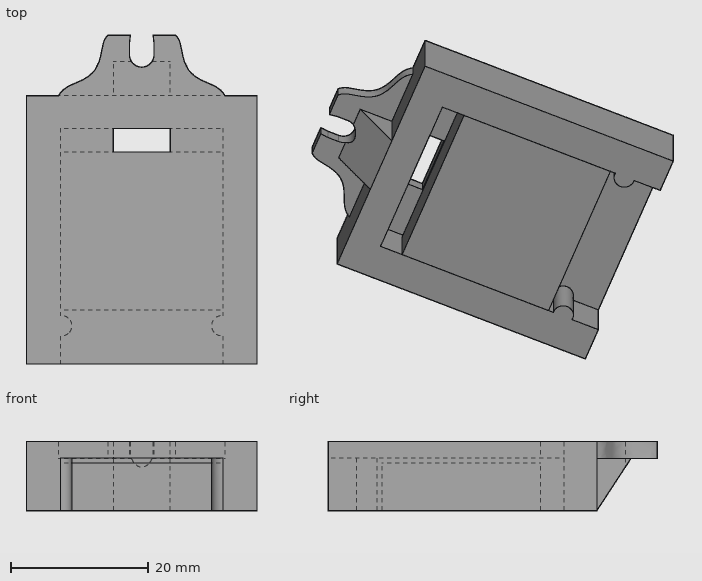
import cadquery as cq


WIDTH = 33.6
TOTAL_LENGTH = 47.9
HEIGHT = 10.1
BODY_LENGTH = 39.1

PLATE_THICKNESS = 2.4
SIDE_WALL = 5.0
BACK_WALL = 4.8
INNER_WIDTH = WIDTH - 2 * SIDE_WALL
CEILING_Z = HEIGHT - PLATE_THICKNESS
BACK_WALL_FRONT = BODY_LENGTH - BACK_WALL

WINDOW_WIDTH = 8.25
WINDOW_LENGTH = 3.4
WINDOW_FRONT = BACK_WALL_FRONT - WINDOW_LENGTH

RIB_RADIUS = 1.5
RIB_INSET = 0.15
RIB_Y = 5.6

INSERT_GAP = 0.75
INSERT_FRONT = RIB_Y + RIB_RADIUS + INSERT_GAP
INSERT_TOP = CEILING_Z - INSERT_GAP

TONGUE_THICKNESS = 2.5
TONGUE_LENGTH = TOTAL_LENGTH - BODY_LENGTH
TONGUE_BOTTOM = HEIGHT - TONGUE_THICKNESS

TONGUE_FLANK = [
    (4.95, TONGUE_LENGTH),
    (5.45, 8.05),
    (5.9, 6.33),
    (6.25, 4.95),
    (6.85, 3.7),
    (8.8, 2.2),
    (10.75, 1.35),
    (12.1, 0.0),
]

SLOT_RADIUS = 1.75
SLOT_MOUTH_HALF_WIDTH = 1.65
SLOT_DEPTH = 4.65
SLOT_TAPER_LENGTH = 1.15

BRACE_LENGTH = 5.0
BRACE_WIDTH = WINDOW_WIDTH


def box(width, y_start, y_end, z_start, z_end):
    """Block centred on X between the given Y and Z limits."""
    return (
        cq.Workplane("XY")
        .box(width, y_end - y_start, z_end - z_start, centered=(True, False, False))
        .translate((0, y_start, z_start))
    )


def tongue_half(side):
    """One half of the tongue, on the +X (side = 1) or -X (side = -1) side of the centre line."""
    flank = [(side * x, BODY_LENGTH + y) for x, y in TONGUE_FLANK]
    return (
        cq.Workplane("XY", origin=(0, 0, TONGUE_BOTTOM))
        .moveTo(0, BODY_LENGTH)
        .lineTo(0, TOTAL_LENGTH)
        .lineTo(*flank[0])
        .spline(flank[1:], includeCurrent=True)
        .close()
        .extrude(TONGUE_THICKNESS)
    )


def tongue_slot():
    """Cutter for the round-ended slot, open at the tip of the tongue."""
    slot_bottom = TOTAL_LENGTH - SLOT_DEPTH
    arc_y = slot_bottom + SLOT_RADIUS
    taper_y = TOTAL_LENGTH - SLOT_TAPER_LENGTH
    return (
        cq.Workplane("XY")
        .moveTo(SLOT_MOUTH_HALF_WIDTH, TOTAL_LENGTH)
        .lineTo(SLOT_RADIUS, taper_y)
        .lineTo(SLOT_RADIUS, arc_y)
        .threePointArc((0, slot_bottom), (-SLOT_RADIUS, arc_y))
        .lineTo(-SLOT_RADIUS, taper_y)
        .lineTo(-SLOT_MOUTH_HALF_WIDTH, TOTAL_LENGTH)
        .close()
        .extrude(HEIGHT)
    )


def wall_ribs():
    """Upright ribs of round section along the inner faces of both side walls."""
    rib_x = INNER_WIDTH / 2 - RIB_INSET
    return (
        cq.Workplane("XY")
        .pushPoints([(side * rib_x, RIB_Y) for side in (-1, 1)])
        .circle(RIB_RADIUS)
        .extrude(HEIGHT)
    )


def brace():
    """Triangular brace from the foot of the back wall up to the tongue."""
    return (
        cq.Workplane("YZ")
        .moveTo(BODY_LENGTH, 0)
        .lineTo(BODY_LENGTH + BRACE_LENGTH, TONGUE_BOTTOM)
        .lineTo(BODY_LENGTH, TONGUE_BOTTOM)
        .close()
        .extrude(BRACE_WIDTH / 2, both=True)
    )


def make_housing():
    """Cover open at the front and bottom, with ribs, window and a braced, slotted tongue."""
    shell = box(WIDTH, 0, BODY_LENGTH, 0, HEIGHT)
    cavity = box(INNER_WIDTH, 0, BACK_WALL_FRONT, 0, CEILING_Z)
    window = box(WINDOW_WIDTH, WINDOW_FRONT, BACK_WALL_FRONT, 0, HEIGHT)
    return (
        shell.cut(cavity)
        .union(wall_ribs())
        .cut(window)
        .union(tongue_half(1))
        .union(tongue_half(-1))
        .union(brace())
        .cut(tongue_slot())
    )


def make_insert():
    """Plain block that fits between the side walls and leaves a gap under the plate."""
    return box(INNER_WIDTH, INSERT_FRONT, WINDOW_FRONT, 0, INSERT_TOP)


housing = make_housing()
insert = make_insert()

result = cq.Compound.makeCompound([housing.solids().val(), insert.solids().val()])